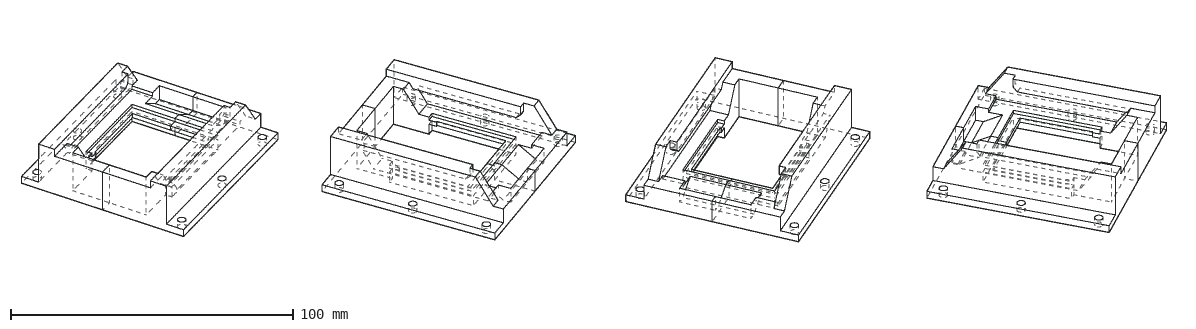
import cadquery as cq

WIDTH = 66.0
LENGTH = 68.0
HEIGHT = 19.5

FLANGE_HEIGHT = 3.0
SCREW_DIAMETER = 3.0
SCREW_X = 29.45
FRONT_SCREW_Y = 5.0
SCREW_PITCH = 29.0
SCREWS_PER_FLANGE = 3

FLOOR_Z = 7.5
REAR_SHELF_Z = 9.0
FRONT_SHELF_Z = 16.5
LIP_UNDERSIDE_Z = 14.3

WALL_OUTER_X = 26.05
LIP_INNER_X = 19.5
CHANNEL_X = 22.0
LIP_REAR_Y = 52.9
LIP_CHAMFER = 1.7
STEP_Y = 60.05

RAMP_STEEPNESS = 1.5
FRONT_RAMP_FOOT_Y = 15.0
REAR_RAMP_FOOT_Y = 64.0
front_ramp_top_y = FRONT_RAMP_FOOT_Y - (FRONT_SHELF_Z - FLOOR_Z) / RAMP_STEEPNESS
front_ramp_lip_y = FRONT_RAMP_FOOT_Y - (LIP_UNDERSIDE_Z - FLOOR_Z) / RAMP_STEEPNESS
rear_ramp_top_y = REAR_RAMP_FOOT_Y - (HEIGHT - REAR_SHELF_Z) / RAMP_STEEPNESS

WINDOW_X = 15.5
WINDOW_REAR_Y = 48.95
WINDOW_STEP_Y = 21.9
FRONT_WINDOW_X = 14.95
FRONT_WINDOW_Y = 5.0
WEB_X = 17.5
WEB_FRONT_Y = 19.05
WEB_REAR_Y = 52.1
WEB_TOP_Z = 6.1
WEB_UNDERSIDE_Z = 4.35

RECESS_X = 13.6
RECESS_FRONT_Y = 54.9
RECESS_FLAT_Y = 62.0
RECESS_REAR_Y = 64.95
RECESS_FLOOR_Z = 3.0


def half_box(half_width, y_front, y_rear, z_bottom, z_top):
    """Box from the split plane out to X = half_width."""
    size = (half_width, y_rear - y_front, z_top - z_bottom)
    return cq.Workplane("XY").box(*size, centered=False).translate((0, y_front, z_bottom))


def half_prism(half_width, yz_points):
    """YZ outline extruded from the split plane out to X = half_width."""
    return cq.Workplane("YZ").polyline(yz_points).close().extrude(half_width)


def half_block():
    """Flange and raised wall block, with the ramp down to the rear shelf."""
    flange = half_box(WIDTH / 2, 0, LENGTH, 0, FLANGE_HEIGHT)
    wall = half_prism(WALL_OUTER_X, [
        (0, 0),
        (LENGTH, 0),
        (LENGTH, REAR_SHELF_Z),
        (REAR_RAMP_FOOT_Y, REAR_SHELF_Z),
        (rear_ramp_top_y, HEIGHT),
        (0, HEIGHT),
    ])
    return flange.union(wall)


def bay_between_lips():
    """Open space between the lips, above the front shelf, floor and rear step."""
    return half_prism(LIP_INNER_X, [
        (0, FRONT_SHELF_Z),
        (front_ramp_top_y, FRONT_SHELF_Z),
        (FRONT_RAMP_FOOT_Y, FLOOR_Z),
        (LIP_REAR_Y, FLOOR_Z),
        (LIP_REAR_Y, HEIGHT),
        (0, HEIGHT),
    ])


def slide_channel():
    """Wider channel below the lips, open at the top behind them."""
    return half_prism(CHANNEL_X, [
        (FRONT_RAMP_FOOT_Y, FLOOR_Z),
        (STEP_Y, FLOOR_Z),
        (STEP_Y, REAR_SHELF_Z),
        (LENGTH, REAR_SHELF_Z),
        (LENGTH, HEIGHT),
        (LIP_REAR_Y, HEIGHT),
        (LIP_REAR_Y, LIP_UNDERSIDE_Z + LIP_CHAMFER),
        (LIP_REAR_Y - LIP_CHAMFER, LIP_UNDERSIDE_Z),
        (front_ramp_lip_y, LIP_UNDERSIDE_Z),
    ])


def window():
    """Stepped through opening."""
    rear = half_box(WINDOW_X, WINDOW_STEP_Y, WINDOW_REAR_Y, 0, HEIGHT)
    front = half_box(FRONT_WINDOW_X, FRONT_WINDOW_Y, WINDOW_STEP_Y, 0, HEIGHT)
    return rear.union(front)


def web_pockets():
    """Shallow pocket above the web and deeper pocket below it."""
    upper = half_box(WEB_X, WEB_FRONT_Y, WEB_REAR_Y, WEB_TOP_Z, FLOOR_Z)
    lower = half_box(WEB_X, WEB_FRONT_Y, WEB_REAR_Y, 0, WEB_UNDERSIDE_Z)
    return upper.union(lower)


def finger_recess():
    """Recess with a flat bottom at the rear and a slope up to the floor."""
    return half_prism(RECESS_X, [
        (RECESS_FRONT_Y, FLOOR_Z),
        (RECESS_FLAT_Y, RECESS_FLOOR_Z),
        (RECESS_REAR_Y, RECESS_FLOOR_Z),
        (RECESS_REAR_Y, HEIGHT),
        (RECESS_FRONT_Y, HEIGHT),
    ])


def screw_holes():
    """Row of through holes along the flange."""
    centres = [(SCREW_X, FRONT_SCREW_Y + i * SCREW_PITCH) for i in range(SCREWS_PER_FLANGE)]
    return cq.Workplane("XY").pushPoints(centres).circle(SCREW_DIAMETER / 2).extrude(FLANGE_HEIGHT)


def make_right_half():
    """Right half of the housing frame."""
    half = half_block()
    for cutter in (bay_between_lips, slide_channel, window, web_pockets, finger_recess, screw_holes):
        half = half.cut(cutter())
    return half


right_half = make_right_half()
left_half = right_half.mirror("YZ")

result = cq.Compound.makeCompound([left_half.val(), right_half.val()])